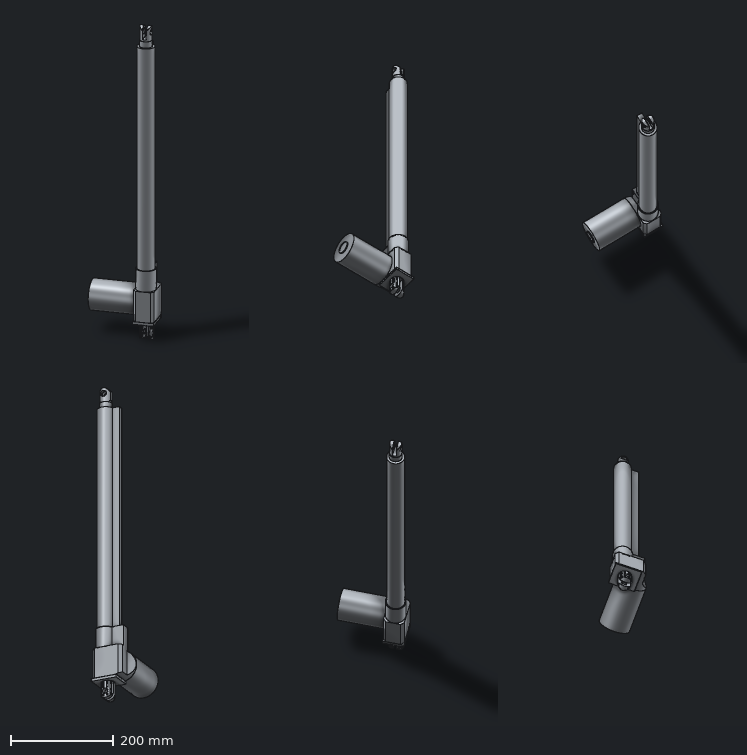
import cadquery as cq
import math

TOTAL_HEIGHT = 654.0

PLATE_WIDTH = 43.0
PLATE_HALF = PLATE_WIDTH / 2
GEARBOX_INSET = 0.5
GEARBOX_HALF = PLATE_HALF - GEARBOX_INSET
GEARBOX_BACK_Y = 43.0
FRONT_CHAMFER = 6.0
BACK_CHAMFER = 6.5
PLATE_BOTTOM_Z = 35.0
PLATE_THICKNESS = 6.0
PLATE_BACK_Y = 33.0

MOTOR_DIAMETER = 64.0
MOTOR_END_X = -116.5
MOTOR_AXIS_Y = 25.0
MOTOR_CAP_DIAMETER = 25.5
MOTOR_CAP_THICKNESS = 2.0
MOUNT_DIAMETER = 63.5
MOUNT_RADIUS = MOUNT_DIAMETER / 2
MOUNT_BEVEL_X = -19.0

SWITCH_BOX_WIDTH = 19.5
SCREW_HOLE_DIAMETER = 3.0
SCREW_HOLE_DEPTH = 2.0
SCREW_HOLE_Y = 39.0
SCREW_HOLE_HEIGHTS = (131.5, 143.0)

SLEEVE_DIAMETER = 40.5
SLEEVE_TOP_Z = 148.0
TUBE_DIAMETER = 36.0
TUBE_TOP_Z = 610.5
RAIL_WIDTH = 12.0
RAIL_BACK_Y = 32.0

ROD_DIAMETER = 25.5
ROD_TOP_Z = 624.0
FORK_SLOT_WIDTH = 8.0
TOP_FORK_DIAMETER = 24.0
TOP_FORK_HOLE_DIAMETER = 12.5
TOP_FORK_SLOT_Z = 627.5
BOTTOM_FORK_DIAMETER = 28.0
BOTTOM_FORK_HOLE_DIAMETER = 11.0
BOTTOM_FORK_SLOT_Z = 34.0
BOTTOM_FORK_OFFSET_Y = 4.5

RECESS_WIDTH = 3.0
RECESS_DEPTH = 2.0
RECESS_GROUPS = (
    (20, ((4.5, 7.0), (22.0, 29.5), (31.5, 33.5))),
    (50, ((6.0, 8.0), (10.5, 16.0), (18.0, 29.5), (31.5, 33.5))),
)

PLATE_TOP_Z = PLATE_BOTTOM_Z + PLATE_THICKNESS
MOTOR_AXIS_Z = PLATE_TOP_Z + MOUNT_RADIUS
GEARBOX_TOP_Z = PLATE_TOP_Z + MOUNT_DIAMETER


def block(x_span, y_span, z_span):
    """Box between two limits on each axis."""
    lows, highs = zip(x_span, y_span, z_span)
    sizes = [high - low for low, high in zip(lows, highs)]
    return cq.Workplane("XY").box(*sizes, centered=False).translate(lows)


def upright(diameter, z_low, z_high):
    """Cylinder on the spindle axis."""
    return cq.Workplane("XY").workplane(offset=z_low).circle(diameter / 2).extrude(z_high - z_low)


def crosswise(diameter, y, z, x_low, x_high):
    """Cylinder parallel to X."""
    plane = cq.Workplane("YZ", origin=(x_low, y, z))
    return plane.circle(diameter / 2).extrude(x_high - x_low)


def rounded_block(x_span, front_y, top_z):
    """Block on the base plate whose lower back follows the motor mount's circle."""
    reach = GEARBOX_BACK_Y - MOTOR_AXIS_Y
    arc_end_z = MOTOR_AXIS_Z - math.sqrt(MOUNT_RADIUS**2 - reach**2)
    return (
        cq.Workplane("YZ", origin=(x_span[0], 0, 0))
        .moveTo(front_y, PLATE_TOP_Z)
        .lineTo(MOTOR_AXIS_Y, PLATE_TOP_Z)
        .radiusArc((GEARBOX_BACK_Y, arc_end_z), -MOUNT_RADIUS)
        .lineTo(GEARBOX_BACK_Y, top_z)
        .lineTo(front_y, top_z)
        .close()
        .extrude(x_span[1] - x_span[0])
    )


def make_gearbox():
    half = GEARBOX_HALF
    body = rounded_block((-half, half), -half, GEARBOX_TOP_Z)
    body = body.edges("|Z and <Y").chamfer(FRONT_CHAMFER)
    body = body.edges("|Z and >Y and >X").chamfer(BACK_CHAMFER)
    box_side_x = -SWITCH_BOX_WIDTH / 2
    corner = block((-half, box_side_x), (MOTOR_AXIS_Y, GEARBOX_BACK_Y), (PLATE_TOP_Z, GEARBOX_TOP_Z))
    plate = block((-PLATE_HALF, PLATE_HALF), (-PLATE_HALF, PLATE_BACK_Y), (PLATE_BOTTOM_Z, PLATE_TOP_Z))
    return body.cut(corner).union(plate)


def make_motor_mount():
    """Round mount whose inner end is bevelled at 45 degrees in plan."""
    mount_back_y = MOTOR_AXIS_Y + MOUNT_RADIUS
    bevel_end_x = MOUNT_BEVEL_X + mount_back_y - MOTOR_AXIS_Y
    plan = (
        cq.Workplane("XY", origin=(0, 0, PLATE_TOP_Z))
        .moveTo(-GEARBOX_HALF, MOTOR_AXIS_Y)
        .lineTo(-GEARBOX_HALF, mount_back_y)
        .lineTo(MOUNT_BEVEL_X, mount_back_y)
        .lineTo(bevel_end_x, MOTOR_AXIS_Y)
        .close()
        .extrude(MOUNT_DIAMETER)
    )
    return plan.intersect(crosswise(MOUNT_DIAMETER, MOTOR_AXIS_Y, MOTOR_AXIS_Z, -GEARBOX_HALF, bevel_end_x))


def make_motor():
    body = crosswise(MOTOR_DIAMETER, MOTOR_AXIS_Y, MOTOR_AXIS_Z, MOTOR_END_X, -GEARBOX_HALF)
    cap_end_x = MOTOR_END_X - MOTOR_CAP_THICKNESS
    cap = crosswise(MOTOR_CAP_DIAMETER, MOTOR_AXIS_Y, MOTOR_AXIS_Z, cap_end_x, MOTOR_END_X)
    return body.union(cap)


def make_switch_box():
    half = SWITCH_BOX_WIDTH / 2
    box = rounded_block((-half, half), 0, SLEEVE_TOP_Z)
    for z in SCREW_HOLE_HEIGHTS:
        hole = crosswise(SCREW_HOLE_DIAMETER, SCREW_HOLE_Y, z, -half, -half + SCREW_HOLE_DEPTH)
        box = box.cut(hole)
    return box


def make_tube():
    half = RAIL_WIDTH / 2
    sleeve = upright(SLEEVE_DIAMETER, PLATE_TOP_Z, SLEEVE_TOP_Z)
    tube = upright(TUBE_DIAMETER, PLATE_TOP_Z, TUBE_TOP_Z)
    rail = block((-half, half), (0, RAIL_BACK_Y), (PLATE_TOP_Z, TUBE_TOP_Z))
    return sleeve.union(tube).union(rail)


def make_fork(diameter, hole_diameter, root_z, slot_z, tip_z):
    """Slotted round bar with a round tip and a cross hole concentric with the tip."""
    radius = diameter / 2
    up = 1 if tip_z > root_z else -1
    eye_z = tip_z - up * radius
    shank = block((-radius, radius), (-radius, radius), sorted((root_z, eye_z)))
    outline = shank.union(crosswise(diameter, 0, eye_z, -radius, radius))
    fork = upright(diameter, *sorted((root_z, tip_z))).intersect(outline)
    half_slot = FORK_SLOT_WIDTH / 2
    slot = block((-half_slot, half_slot), (-radius, radius), sorted((slot_z, tip_z)))
    return fork.cut(slot).cut(crosswise(hole_diameter, 0, eye_z, -radius, radius))


def cut_recesses(fork):
    """Columns of shallow recesses, repeated in all four quadrants."""
    radius = BOTTOM_FORK_DIAMETER / 2
    half = RECESS_WIDTH / 2
    for column_angle, z_spans in RECESS_GROUPS:
        for angle in (column_angle, -column_angle, 180 - column_angle, 180 + column_angle):
            for z_span in z_spans:
                recess = block((radius - RECESS_DEPTH, radius), (-half, half), z_span)
                fork = fork.cut(recess.rotate((0, 0, 0), (0, 0, 1), angle))
    return fork


rod = upright(ROD_DIAMETER, PLATE_TOP_Z, ROD_TOP_Z)
top_fork = make_fork(TOP_FORK_DIAMETER, TOP_FORK_HOLE_DIAMETER, ROD_TOP_Z, TOP_FORK_SLOT_Z, TOTAL_HEIGHT)
bottom_fork = make_fork(BOTTOM_FORK_DIAMETER, BOTTOM_FORK_HOLE_DIAMETER, PLATE_BOTTOM_Z, BOTTOM_FORK_SLOT_Z, 0)

bottom_fork = cut_recesses(bottom_fork).translate((0, BOTTOM_FORK_OFFSET_Y, 0))

result = make_gearbox()
for section in (make_motor_mount(), make_motor(), make_switch_box(), make_tube(), rod, top_fork, bottom_fork):
    result = result.union(section)